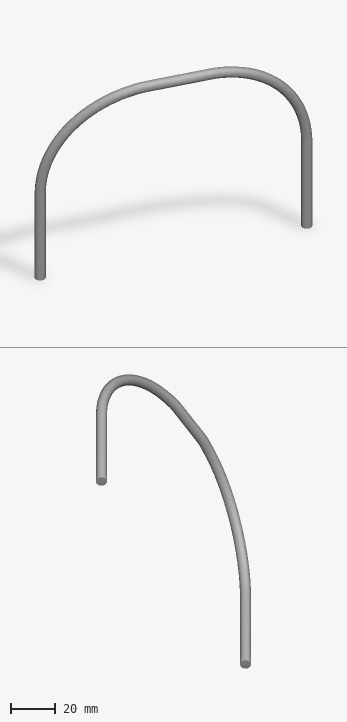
import cadquery as cq
import math

overall_width = 130.9
overall_height = 100.0
overall_depth = 13.0
rod_diameter = 5.0
crown_length = 21.0
lean_end_slope = 0.7
spline_spans = 12

rod_radius = rod_diameter / 2
leg_y = overall_width / 2 - rod_radius
crown_half = crown_length / 2
crown_z = overall_height - rod_radius
bend_radius = leg_y - crown_half
leg_length = crown_z - bend_radius
lean = overall_depth - rod_diameter


def bend_point(angle):
    """Centreline point: a quarter circle in YZ that leans towards +X along a cubic."""
    turn = angle / (math.pi / 2)
    rise = bend_radius * math.sin(angle)
    x = lean * ((3 - lean_end_slope) * turn**2 + (lean_end_slope - 2) * turn**3)
    y = crown_half + bend_radius * math.cos(angle)
    return cq.Vector(x, y, leg_length + rise)


def bend_path():
    """Smooth centreline of one bend, from the top of the leg to the crown."""
    angles = [math.pi / 2 * i / spline_spans for i in range(spline_spans + 1)]
    points = [bend_point(angle) for angle in angles]
    leg_tangent = cq.Vector(0, 0, bend_radius)
    crown_tangent = cq.Vector(0, -bend_radius, 0)
    return cq.Edge.makeSpline(
        points,
        tangents=[leg_tangent, crown_tangent],
        parameters=angles,
        scale=False,
    )


rod_section = cq.Workplane("XY").center(0, leg_y).circle(rod_radius)
leg = rod_section.extrude(leg_length)
bend = (
    cq.Workplane("XY", origin=(0, leg_y, leg_length))
    .circle(rod_radius)
    .sweep(cq.Wire.assembleEdges([bend_path()]))
)
crown = cq.Workplane("XZ", origin=(lean, crown_half, crown_z)).circle(rod_radius).extrude(crown_half)

half_rod = leg.union(bend).union(crown)
result = half_rod.union(half_rod.mirror("XZ"))